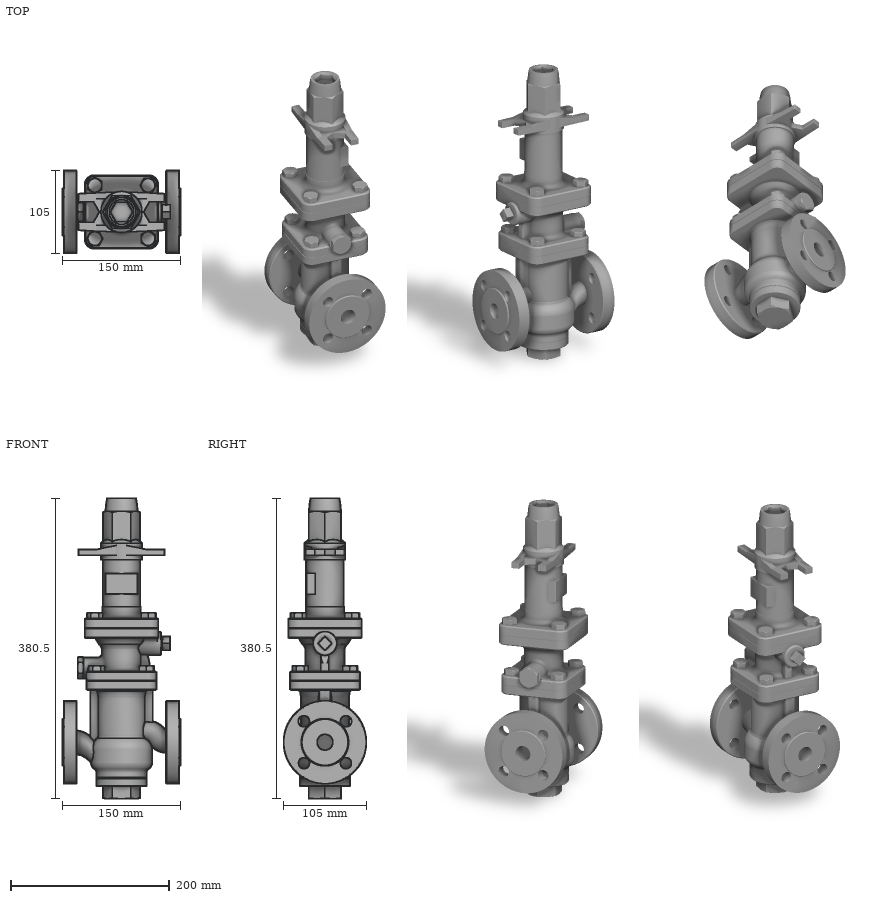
import cadquery as cq
import math

Z_BOTTOM = -71.6
Z_TOP = 308.9

FACE_TO_FACE = 150.0
FLANGE_DIA = 105.0
FLANGE_THICK = 16.7
RAISED_FACE_DIA = 60.0
RAISED_FACE_HEIGHT = 2.0
RAISED_FACE_EDGE = 0.8
FLANGE_BACK_EDGE = 1.2
FLANGE_HOLE_CIRCLE = 75.0
FLANGE_HOLE_DIA = 14.0
FLANGE_HOLE_COUNT = 4
BORE_DIA = 20.0
BORE_DEPTH = 25.0

INLET_SECTIONS = [
    (-64.7, 0.0, 15.2),
    (-56.0, -0.3, 15.3),
    (-47.0, -3.3, 15.7),
    (-39.5, -8.7, 16.2),
    (-30.0, -17.5, 16.5),
]
OUTLET_RADIUS = 13.7
OUTLET_BEND_RADIUS = 16.0
OUTLET_BEND_ANGLE = math.radians(48)
OUTLET_BEND_X = 58.5
OUTLET_RISE = 14.0
OUTLET_END_X = 15.0

CAP_HEX_FLATS = 41.0
CAP_HEX_CORNER_BREAK = 1.0
CAP_RADIUS = 32.0
CAP_EDGE = 1.0
CAP_BOTTOM_Z = -56.0
CAP_TOP_Z = -46.2
CAP_GROOVE_HEIGHT = 1.8
CAP_GROOVE_DEPTH = 0.8
BELLY_FOOT_Z = -38.4
BELLY_RADIUS = 39.0
BELLY_FOOT_BULGE = (32.6, -35.8)
BELLY_TURN = (34.4, -33.8)
BELLY_UNDERSIDE = (37.6, -30.4)
BELLY_LOW_Z = -26.0
BELLY_HIGH_Z = -8.0
SHOULDER_BULGE = (36.5, -0.5)
SHOULDER_Z = 5.0
SHOULDER_STEP = 0.9
SHOULDER_STEP_HEIGHT = 3.0
BODY_RADIUS = 30.5
BODY_FLARE = 1.2
BODY_FLARE_HEIGHT = 9.0
BODY_TOP_BLEND = 1.5
RIB_REACH = 39.8
RIB_WIDTH = 14.0
RIB_ROUND = 3.0
RIB_ROOT_FILLET = 3.7
INLET_RIB_Z = 0.0
OUTLET_RIB_Z = 20.0

LOWER_JOINT_SIZE = 88.8
LOWER_JOINT_Z = (65.8, 89.8)
UPPER_JOINT_SIZE = 93.4
UPPER_JOINT_Z = (131.4, 157.0)
JOINT_CORNER_RADIUS = 13.0
JOINT_EDGE_BREAK = 1.5
GASKET_THICK = 1.0
GASKET_INSET = 0.8
BOLT_HEAD_FLATS = 17.5
BOLT_HEAD_HEIGHT = 7.0
BOLT_CORNER_BREAK = 0.8

NECK_RADIUS = 25.0
NECK_FILLET = 6.5
NECK_CONE_Z = 118.0
NECK_FLARE_MID = (25.9, 120.9)
NECK_FLARE_END = (28.5, 124.0)
NECK_CONE_TURN = (31.3, 128.3)
NECK_CONE_RADIUS = 33.0

HEX_PORT_Z = 94.0
HEX_PORT_DIA = 27.0
HEX_PORT_END = 48.0
HEX_PLUG_FLATS = 24.0
HEX_PLUG_CORNER_BREAK = 1.0
HEX_PLUG_LENGTH = 7.6
PORT_BLEND = 3.8
HEX_PORT_ROOT_FILLET = 4.5
ROUND_PORT_Z = 125.0
ROUND_PORT_DIA = 30.0
ROUND_PORT_END = 50.2
ROUND_PORT_EDGE = 2.5
SQUARE_PLUG_SIDE = 12.5
SQUARE_PLUG_X = (51.6, 61.5)
SQUARE_PLUG_SHANK_DIA = 10.0
GUSSET_REACH = 35.5
GUSSET_STRAIGHT_TOP_Z = 100.0
GUSSET_CURVE = (34.0, 107.0)
GUSSET_TOP_X = 29.0
GUSSET_WIDTH = 10.0
GUSSET_ROUND = 2.5

TUBE_FOOT_RADIUS = 24.6
TUBE_FOOT_FILLET = 6.5
TUBE_FOOT_TOP_Z = 171.5
TUBE_RADIUS = 24.0
COLLAR_RADIUS = 26.0
COLLAR_Z = (231.0, 252.0)
COLLAR_SLOPE_HEIGHT = 4.5
NAMEPLATE_WIDTH = 41.5
NAMEPLATE_Z = (187.0, 214.0)
NAMEPLATE_BACK_Y = -12.0
NAMEPLATE_EDGE = 0.8

HANDLE_REACH = 54.5
HANDLE_Z = (236.5, 244.0)
HANDLE_TIP_HALF = 23.3
HANDLE_ROOT_HALF = 25.2
HANDLE_ROOT_X = 6.2
HANDLE_CORNER = 1.5
NOTCH_HALF = 12.8
NOTCH_TIP_X = 28.0
WEDGE_X = 31.5
WEDGE_TOP_Z = 249.0
WEDGE_INNER_Y = 16.5

NUT_FLATS = 41.0
NUT_TOP_Z = 292.5
NUT_CHAMFER_DROP = 2.0
DOME_TOP_RADIUS = 18.3
DOME_MID_RADIUS = 19.8
SOCKET_FLATS = 24.5
SOCKET_DEPTH = 10.0
SOCKET_CHAMFER = 1.5


def hex_corners(flats):
    """Diameter across the corners of a hexagon."""
    return flats / math.cos(math.pi / 6)


def cone_frustum(r_low, z_low, r_high, z_high):
    """Solid of revolution about Z with straight sides."""
    outline = [(0, z_low), (r_low, z_low), (r_high, z_high), (0, z_high)]
    return cq.Workplane("XZ").polyline(outline).close().revolve(360, (0, 0, 0), (0, 1, 0))


def cylinder(radius, z_low, z_high):
    """Upright cylinder on the valve axis."""
    return cq.Workplane("XY").workplane(offset=z_low).circle(radius).extrude(z_high - z_low)


def hex_prism(flats, z_low, z_high):
    """Vertical hexagon with corners pointing along X."""
    plane = cq.Workplane("XY").workplane(offset=z_low)
    return plane.polygon(6, hex_corners(flats)).extrude(z_high - z_low)


def break_hex_corners(flats, height, drop, both_ends=False):
    """Hexagon standing on Z = 0 with its top (and bottom) corners turned off."""
    body = hex_prism(flats, 0, height)
    flat_radius = flats / 2
    rim_radius = flat_radius + drop * math.sqrt(3)
    body = body.intersect(
        cylinder(flats, 0, height - drop).union(
            cone_frustum(rim_radius, height - drop, flat_radius, height)
        )
    )
    if both_ends:
        body = body.intersect(
            cylinder(flats, drop, height).union(cone_frustum(flat_radius, 0, rim_radius, drop))
        )
    return body


def end_flange(side):
    """Pipe flange; side is -1 for the inlet and +1 for the outlet."""
    disc = cq.Workplane("YZ").circle(FLANGE_DIA / 2).extrude(FLANGE_THICK)
    disc = disc.faces("<X").chamfer(FLANGE_BACK_EDGE)
    disc = (
        disc.faces(">X").workplane()
        .polarArray(FLANGE_HOLE_CIRCLE / 2, 180 / FLANGE_HOLE_COUNT, 360, FLANGE_HOLE_COUNT)
        .circle(FLANGE_HOLE_DIA / 2).cutThruAll()
    )
    face = cq.Workplane("YZ").workplane(offset=FLANGE_THICK)
    face = face.circle(RAISED_FACE_DIA / 2).extrude(RAISED_FACE_HEIGHT)
    face = face.faces(">X").chamfer(RAISED_FACE_EDGE)
    flange = disc.union(face)
    inner_x = FACE_TO_FACE / 2 - RAISED_FACE_HEIGHT - FLANGE_THICK
    if side < 0:
        flange = flange.mirror("YZ")
    return flange.translate((side * inner_x, 0, 0))


def pipe_section_x(side):
    """X of the pipe end hidden inside an end flange."""
    return side * (FACE_TO_FACE / 2 - RAISED_FACE_HEIGHT - FLANGE_THICK / 2)


def inlet_pipe():
    """Leaves the inlet flange level, then drops and widens into the belly."""
    sections = [
        cq.Wire.makeCircle(radius, cq.Vector(x, 0, z), cq.Vector(1, 0, 0))
        for x, z, radius in INLET_SECTIONS
    ]
    return cq.Workplane(cq.Solid.makeLoft(sections))


def outlet_pipe():
    """Swan-neck pipe: two equal opposite bends rising from flange to body."""
    shift_x = OUTLET_BEND_RADIUS * math.sin(OUTLET_BEND_ANGLE)
    shift_z = OUTLET_BEND_RADIUS * (1 - math.cos(OUTLET_BEND_ANGLE))
    half_x = OUTLET_BEND_RADIUS * math.sin(OUTLET_BEND_ANGLE / 2)
    half_z = OUTLET_BEND_RADIUS * (1 - math.cos(OUTLET_BEND_ANGLE / 2))
    slope_z = OUTLET_RISE - 2 * shift_z
    slope_x = slope_z / math.tan(OUTLET_BEND_ANGLE)
    upper_x = OUTLET_BEND_X - 2 * shift_x - slope_x
    start_x = pipe_section_x(1)
    path = (
        cq.Workplane("XZ").moveTo(start_x, 0).lineTo(OUTLET_BEND_X, 0)
        .threePointArc((OUTLET_BEND_X - half_x, half_z), (OUTLET_BEND_X - shift_x, shift_z))
        .lineTo(upper_x + shift_x, OUTLET_RISE - shift_z)
        .threePointArc((upper_x + half_x, OUTLET_RISE - half_z), (upper_x, OUTLET_RISE))
        .lineTo(OUTLET_END_X, OUTLET_RISE)
    )
    return cq.Workplane("YZ").workplane(offset=start_x).circle(OUTLET_RADIUS).sweep(path)


def lower_body():
    """Turned body from the bottom cap up to the lower joint."""
    groove_radius = CAP_RADIUS - CAP_GROOVE_DEPTH
    groove_top_z = CAP_TOP_Z + CAP_GROOVE_HEIGHT
    joint_z = LOWER_JOINT_Z[0]
    flare_z = joint_z - BODY_FLARE_HEIGHT
    return (
        cq.Workplane("XZ")
        .moveTo(0, CAP_BOTTOM_Z)
        .lineTo(CAP_RADIUS - CAP_EDGE, CAP_BOTTOM_Z)
        .lineTo(CAP_RADIUS, CAP_BOTTOM_Z + CAP_EDGE)
        .lineTo(CAP_RADIUS, CAP_TOP_Z)
        .lineTo(groove_radius, CAP_TOP_Z)
        .lineTo(groove_radius, groove_top_z)
        .lineTo(CAP_RADIUS, groove_top_z)
        .lineTo(CAP_RADIUS, BELLY_FOOT_Z)
        .threePointArc(BELLY_FOOT_BULGE, BELLY_TURN)
        .threePointArc(BELLY_UNDERSIDE, (BELLY_RADIUS, BELLY_LOW_Z))
        .lineTo(BELLY_RADIUS, BELLY_HIGH_Z)
        .threePointArc(SHOULDER_BULGE, (BODY_RADIUS + SHOULDER_STEP, SHOULDER_Z))
        .lineTo(BODY_RADIUS, SHOULDER_Z + SHOULDER_STEP_HEIGHT)
        .lineTo(BODY_RADIUS, flare_z)
        .lineTo(BODY_RADIUS + BODY_FLARE, joint_z - BODY_TOP_BLEND)
        .lineTo(BODY_RADIUS + BODY_FLARE + BODY_TOP_BLEND, joint_z)
        .lineTo(0, joint_z)
        .close()
        .revolve(360, (0, 0, 0), (0, 1, 0))
    )


def body_rib(side, z_low):
    """Upright rib with rounded outer edges and hollow blends into the body."""
    half = RIB_WIDTH / 2
    foot_y = half + RIB_ROOT_FILLET
    foot_x = math.sqrt(BODY_RADIUS**2 - foot_y**2)
    flat = half - RIB_ROUND
    round_in = RIB_ROUND * (1 - math.sqrt(0.5))
    root_in = RIB_ROOT_FILLET * (1 - math.sqrt(0.5))
    root_x = foot_x + RIB_ROOT_FILLET
    rib = (
        cq.Workplane("XY").workplane(offset=z_low)
        .moveTo(0, foot_y).lineTo(foot_x, foot_y)
        .threePointArc((foot_x + root_in, half + root_in), (root_x, half))
        .lineTo(RIB_REACH - RIB_ROUND, half)
        .threePointArc((RIB_REACH - round_in, half - round_in), (RIB_REACH, flat))
        .lineTo(RIB_REACH, 0).lineTo(0, 0).close()
        .extrude(LOWER_JOINT_Z[0] - z_low)
    )
    rib = rib.union(rib.mirror("XZ"))
    return rib.mirror("YZ") if side < 0 else rib


def cap_hexagon():
    """Hexagon head under the bottom cap."""
    height = CAP_BOTTOM_Z - Z_BOTTOM
    head = break_hex_corners(CAP_HEX_FLATS, height, CAP_HEX_CORNER_BREAK)
    return head.rotate((0, 0, 0), (1, 0, 0), 180).translate((0, 0, CAP_BOTTOM_Z))


def joint_plate(size, z_low, z_high, broken_face):
    """Square plate with rounded corners and one chamfered face."""
    plate = cq.Workplane("XY").workplane(offset=z_low).rect(size, size).extrude(z_high - z_low)
    plate = plate.edges("|Z").fillet(JOINT_CORNER_RADIUS)
    return plate.faces(broken_face).edges().chamfer(JOINT_EDGE_BREAK)


def bolted_joint(size, z_range):
    """Two square plates with an inset gasket and four bolt heads."""
    z_low, z_high = z_range
    z_mid = (z_low + z_high) / 2
    half_gap = GASKET_THICK / 2
    joint = joint_plate(size, z_low, z_mid - half_gap, "<Z")
    joint = joint.union(joint_plate(size, z_mid + half_gap, z_high, ">Z"))
    gasket_size = size - 2 * GASKET_INSET
    gasket = cq.Workplane("XY").workplane(offset=z_mid - half_gap).rect(gasket_size, gasket_size)
    gasket = gasket.extrude(GASKET_THICK).edges("|Z").fillet(JOINT_CORNER_RADIUS - GASKET_INSET)
    joint = joint.union(gasket)
    spacing = size / 2 - JOINT_CORNER_RADIUS
    head = break_hex_corners(BOLT_HEAD_FLATS, BOLT_HEAD_HEIGHT, BOLT_CORNER_BREAK)
    for quarter in range(4):
        bolt = head.translate((-spacing, -spacing, z_high))
        joint = joint.union(bolt.rotate((0, 0, 0), (0, 0, 1), 90 * quarter))
    return joint


def neck():
    """Round neck flaring into the plates above and below it."""
    z_low = LOWER_JOINT_Z[1]
    z_high = UPPER_JOINT_Z[0]
    corner = NECK_FILLET * (1 - math.sqrt(0.5))
    return (
        cq.Workplane("XZ")
        .moveTo(0, z_low)
        .lineTo(NECK_RADIUS + NECK_FILLET, z_low)
        .threePointArc(
            (NECK_RADIUS + corner, z_low + corner), (NECK_RADIUS, z_low + NECK_FILLET)
        )
        .lineTo(NECK_RADIUS, NECK_CONE_Z)
        .threePointArc(NECK_FLARE_MID, NECK_FLARE_END)
        .lineTo(*NECK_CONE_TURN)
        .lineTo(NECK_CONE_RADIUS, z_high)
        .lineTo(0, z_high)
        .close()
        .revolve(360, (0, 0, 0), (0, 1, 0))
    )


def port_blend(boss_dia, boss_z, plate_z, rise, x_range):
    """Hollow blends along both sides of a port boss where it meets a plate."""
    blend_z = plate_z + rise
    boss_y = math.sqrt((boss_dia / 2) ** 2 - (blend_z - boss_z) ** 2)
    size = abs(rise)
    bulge = 1 - math.sqrt(0.5)
    x_low, x_high = x_range
    half = (
        cq.Workplane("YZ").workplane(offset=x_low)
        .moveTo(0, plate_z).lineTo(boss_y + size, plate_z)
        .threePointArc((boss_y + size * bulge, plate_z + rise * bulge), (boss_y, blend_z))
        .lineTo(0, blend_z).close()
        .extrude(x_high - x_low)
    )
    return half.union(half.mirror("XZ"))


def hex_port():
    """Plugged port on the -X side, blended into the neck and the plate below."""
    boss = cq.Workplane("YZ").circle(HEX_PORT_DIA / 2).extrude(-HEX_PORT_END)
    post = cylinder(NECK_RADIUS, -HEX_PORT_DIA, HEX_PORT_DIA)
    seam_region = cq.selectors.BoxSelector(
        (-HEX_PORT_END / 2, -HEX_PORT_DIA, -HEX_PORT_DIA / 2),
        (-1, HEX_PORT_DIA, HEX_PORT_DIA / 2),
    )
    seam = post.union(boss).edges(seam_region).edges("not(%CIRCLE or %LINE)")
    boss = seam.fillet(HEX_PORT_ROOT_FILLET)
    boss = boss.translate((0, 0, HEX_PORT_Z))
    blend_x = (JOINT_EDGE_BREAK - LOWER_JOINT_SIZE / 2, 0)
    blend = port_blend(HEX_PORT_DIA, HEX_PORT_Z, LOWER_JOINT_Z[1], PORT_BLEND, blend_x)
    plug = break_hex_corners(HEX_PLUG_FLATS, HEX_PLUG_LENGTH, HEX_PLUG_CORNER_BREAK, both_ends=True)
    plug = plug.rotate((0, 0, 0), (0, 1, 0), -90)
    return boss.union(blend).union(plug.translate((-HEX_PORT_END, 0, HEX_PORT_Z)))


def round_port():
    """Plugged port on the +X side of the neck with a square plug head."""
    boss = cq.Workplane("YZ").circle(ROUND_PORT_DIA / 2).extrude(ROUND_PORT_END)
    boss = boss.faces(">X").edges().fillet(ROUND_PORT_EDGE)
    shank = cq.Workplane("YZ").circle(SQUARE_PLUG_SHANK_DIA / 2).extrude(SQUARE_PLUG_X[1])
    head_x, tip_x = SQUARE_PLUG_X
    head = (
        cq.Workplane("YZ").workplane(offset=head_x)
        .transformed(rotate=(0, 0, 45)).rect(SQUARE_PLUG_SIDE, SQUARE_PLUG_SIDE)
        .extrude(tip_x - head_x)
    )
    port = boss.union(shank).union(head).translate((0, 0, ROUND_PORT_Z))
    blend_x = (0, UPPER_JOINT_SIZE / 2 - JOINT_EDGE_BREAK)
    return port.union(
        port_blend(ROUND_PORT_DIA, ROUND_PORT_Z, UPPER_JOINT_Z[0], -PORT_BLEND, blend_x)
    )


def port_gusset():
    """Web under the round port, its outer edge curving in towards the top."""
    z_low = LOWER_JOINT_Z[1]
    z_high = ROUND_PORT_Z - ROUND_PORT_DIA / 4
    outline = (
        cq.Workplane("XZ").moveTo(0, z_low).lineTo(GUSSET_REACH, z_low)
        .lineTo(GUSSET_REACH, GUSSET_STRAIGHT_TOP_Z)
        .threePointArc(GUSSET_CURVE, (GUSSET_TOP_X, z_high))
        .lineTo(0, z_high).close()
    )
    web = outline.extrude(GUSSET_WIDTH / 2, both=True)
    return web.edges(">X and |Z").fillet(GUSSET_ROUND)


def spring_housing():
    """Tube with its flared foot, collar and the slope up to the nut."""
    z_low = UPPER_JOINT_Z[1]
    corner = TUBE_FOOT_FILLET * (1 - math.sqrt(0.5))
    collar_low, collar_high = COLLAR_Z
    nut_flat_radius = NUT_FLATS / 2
    return (
        cq.Workplane("XZ")
        .moveTo(0, z_low)
        .lineTo(TUBE_FOOT_RADIUS + TUBE_FOOT_FILLET, z_low)
        .threePointArc(
            (TUBE_FOOT_RADIUS + corner, z_low + corner), (TUBE_FOOT_RADIUS, z_low + TUBE_FOOT_FILLET)
        )
        .lineTo(TUBE_FOOT_RADIUS, TUBE_FOOT_TOP_Z)
        .lineTo(TUBE_RADIUS, TUBE_FOOT_TOP_Z)
        .lineTo(TUBE_RADIUS, collar_low)
        .lineTo(COLLAR_RADIUS, collar_low)
        .lineTo(COLLAR_RADIUS, collar_high)
        .lineTo(nut_flat_radius, collar_high + COLLAR_SLOPE_HEIGHT)
        .lineTo(0, collar_high + COLLAR_SLOPE_HEIGHT)
        .close()
        .revolve(360, (0, 0, 0), (0, 1, 0))
    )


def nameplate():
    """Rectangular block standing on the -Y side of the tube."""
    z_low, z_high = NAMEPLATE_Z
    front_y = -TUBE_RADIUS
    block = (
        cq.Workplane("XY")
        .box(NAMEPLATE_WIDTH, NAMEPLATE_BACK_Y - front_y, z_high - z_low, centered=(True, False, False))
        .translate((0, front_y, z_low))
    )
    return block.faces("<Y").edges().chamfer(NAMEPLATE_EDGE)


def handle():
    """Double-ended handle bar with hexagonal notches and wedge ridges."""
    z_low, z_high = HANDLE_Z
    outline = [
        (HANDLE_REACH, HANDLE_TIP_HALF),
        (HANDLE_ROOT_X, HANDLE_ROOT_HALF),
        (HANDLE_ROOT_X, -HANDLE_ROOT_HALF),
        (HANDLE_REACH, -HANDLE_TIP_HALF),
    ]
    bar = cq.Workplane("XY").workplane(offset=z_low).polyline(outline).close().extrude(z_high - z_low)
    bar = bar.edges("|Z and >X").fillet(HANDLE_CORNER)
    slope = [(HANDLE_ROOT_X, z_high), (WEDGE_X, z_high), (HANDLE_ROOT_X, WEDGE_TOP_Z)]
    ridge = cq.Workplane("XZ").polyline(slope).close().extrude(HANDLE_ROOT_HALF, both=True)
    ridge_plan = cq.Workplane("XY").workplane(offset=z_high).polyline(outline).close()
    ridge = ridge.intersect(ridge_plan.extrude(WEDGE_TOP_Z - z_high))
    ridge = ridge.cut(cq.Workplane("XY").box(2 * WEDGE_X, 2 * WEDGE_INNER_Y, 2 * Z_TOP))
    bar = bar.union(ridge)
    shoulder_x = NOTCH_TIP_X + NOTCH_HALF / math.sqrt(3)
    notch = [
        (NOTCH_TIP_X, 0),
        (shoulder_x, NOTCH_HALF),
        (HANDLE_REACH, NOTCH_HALF),
        (HANDLE_REACH, -NOTCH_HALF),
        (shoulder_x, -NOTCH_HALF),
    ]
    notch_plan = cq.Workplane("XY").workplane(offset=z_low).polyline(notch).close()
    bar = bar.cut(notch_plan.extrude(z_high - z_low))
    return bar.union(bar.mirror("YZ"))


def adjusting_nut():
    """Hexagon nut with a domed end and a hexagon socket."""
    z_low = COLLAR_Z[1]
    flat_radius = NUT_FLATS / 2
    hexagon = break_hex_corners(NUT_FLATS, NUT_TOP_Z - z_low, NUT_CHAMFER_DROP)
    dome = (
        cq.Workplane("XZ")
        .moveTo(0, NUT_TOP_Z).lineTo(flat_radius, NUT_TOP_Z)
        .threePointArc((DOME_MID_RADIUS, (NUT_TOP_Z + Z_TOP) / 2), (DOME_TOP_RADIUS, Z_TOP))
        .lineTo(0, Z_TOP).close()
        .revolve(360, (0, 0, 0), (0, 1, 0))
    )
    socket = hex_prism(SOCKET_FLATS, Z_TOP - SOCKET_DEPTH, Z_TOP)
    rim = hex_corners(SOCKET_FLATS) / 2
    lead_in = cone_frustum(rim - SOCKET_CHAMFER, Z_TOP - 2 * SOCKET_CHAMFER, rim + SOCKET_CHAMFER, Z_TOP)
    return hexagon.translate((0, 0, z_low)).union(dome).cut(socket).cut(lead_in)


def bore(side):
    """Blind bore cut into the raised face of one end flange."""
    face = cq.Workplane("YZ").workplane(offset=side * FACE_TO_FACE / 2)
    return face.circle(BORE_DIA / 2).extrude(-side * BORE_DEPTH)


def valve():
    """All parts of the valve joined, with the flange bores cut."""
    body = lower_body()
    pieces = [
        inlet_pipe(),
        outlet_pipe(),
        body_rib(-1, INLET_RIB_Z),
        body_rib(1, OUTLET_RIB_Z),
        cap_hexagon(),
        bolted_joint(LOWER_JOINT_SIZE, LOWER_JOINT_Z),
        neck(),
        hex_port(),
        port_gusset(),
        bolted_joint(UPPER_JOINT_SIZE, UPPER_JOINT_Z),
        round_port(),
        spring_housing(),
        nameplate(),
        handle(),
        adjusting_nut(),
        end_flange(-1),
        end_flange(1),
    ]
    for piece in pieces:
        body = body.union(piece)
    return body.cut(bore(-1)).cut(bore(1))


result = valve()